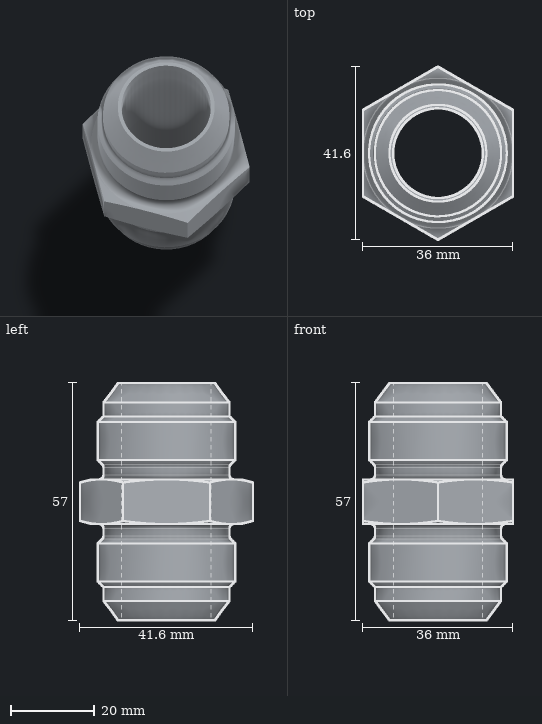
import cadquery as cq
import math

length = 57.0
bore_diameter = 21.5
thread_diameter = 33.05
neck_diameter = 30.3
end_face_diameter = 23.25

hex_height = 10.7
thread_bottom = 10.05
thread_top = 19.1
cone_bottom = 23.75

groove_radius = 1.0

hex_across_flats = 36.0
hex_chamfer_angle = 15.0

half_length = length / 2
half_hex = hex_height / 2
thread_r = thread_diameter / 2
neck_r = neck_diameter / 2
thread_chamfer = thread_r - neck_r


def make_end():
    """Upper half of the turned body, with the groove running into the hexagon."""
    sin45 = math.sin(math.radians(45))
    round_depth = groove_radius * (1 - sin45)
    flank_r = neck_r + round_depth
    flank_bottom = thread_bottom - (thread_r - flank_r)
    groove_top = flank_bottom - groove_radius * sin45
    groove_bottom = half_hex + groove_radius
    lower_arc_mid = (neck_r + round_depth, half_hex + round_depth)
    upper_angle = math.radians(22.5)
    upper_arc_mid = (
        neck_r + groove_radius * (1 - math.cos(upper_angle)),
        groove_top + groove_radius * math.sin(upper_angle),
    )
    return (
        cq.Workplane("XZ")
        .moveTo(0, 0)
        .lineTo(neck_r + groove_radius, 0)
        .lineTo(neck_r + groove_radius, half_hex)
        .threePointArc(lower_arc_mid, (neck_r, groove_bottom))
        .lineTo(neck_r, groove_top)
        .threePointArc(upper_arc_mid, (flank_r, flank_bottom))
        .lineTo(thread_r, thread_bottom)
        .lineTo(thread_r, thread_top)
        .lineTo(neck_r, thread_top + thread_chamfer)
        .lineTo(neck_r, cone_bottom)
        .lineTo(end_face_diameter / 2, half_length)
        .lineTo(0, half_length)
        .close()
        .revolve(360, (0, 0, 0), (0, 1, 0))
    )


def make_hexagon():
    """Hexagon with corners on the Y axis, its corners chamfered by cones at both ends."""
    corner_r = hex_across_flats / math.sqrt(3)
    flat_r = hex_across_flats / 2
    corner_drop = (corner_r - flat_r) * math.tan(math.radians(hex_chamfer_angle))
    prism = (
        cq.Workplane("XY")
        .polygon(6, 2 * corner_r)
        .extrude(half_hex, both=True)
        .rotate((0, 0, 0), (0, 0, 1), 90)
    )
    envelope = (
        cq.Workplane("XZ")
        .polyline([
            (0, -half_hex),
            (flat_r, -half_hex),
            (corner_r, corner_drop - half_hex),
            (corner_r, half_hex - corner_drop),
            (flat_r, half_hex),
            (0, half_hex),
        ])
        .close()
        .revolve(360, (0, 0, 0), (0, 1, 0))
    )
    return prism.intersect(envelope)


upper_end = make_end()
lower_end = upper_end.mirror("XY")
bore = cq.Workplane("XY").circle(bore_diameter / 2).extrude(half_length, both=True)

result = make_hexagon().union(upper_end).union(lower_end).cut(bore)